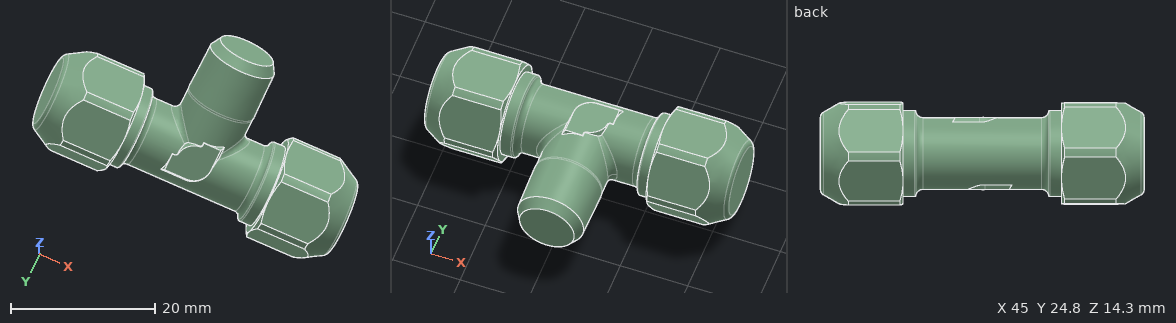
import cadquery as cq
import math

half_length = 22.5
run_radius = 5.0
collar_radius = 6.0
collar_inner_x = 9.23
collar_edge_round = 0.2
collar_fillet = 1.0

nut_inner_x = 11.0
nut_across_flats = 14.0
nut_corner_radius = 7.75
hexagon_sides = 6
nut_cone_angle = 30.0
nut_face_radius = 5.5
nut_face_fillet = 0.9
left_nut_turn = 0.9
right_nut_turn = -3.2

branch_length = 17.0
branch_radius = 4.98
branch_fillet = 1.0
thread_start = 8.3
thread_lead_in = 0.3
thread_radius = 5.04
thread_end_radius = 4.9
tip_chamfer_length = 1.5
tip_radius = 4.05

pad_height = 5.03
pad_center = (0.4, -0.45)
pad_radius = 2.93
pad_corner_reach = 3.7
pad_step_reach = 3.0
pad_step_offset = 0.4
pad_slope_height = 0.65
pad_slope_angle = 30.0


def revolve_about_x(profile):
    """Revolve a closed profile of (x, radius) points around the X axis."""
    return profile.close().revolve(360, (0, 0, 0), (1, 0, 0))


def make_run():
    """Plain bar with a round-edged, filleted collar behind each nut, along X."""
    fillet_start_x = collar_inner_x - collar_fillet
    edge_radius = collar_radius - collar_edge_round
    edge_x = fillet_start_x + math.sqrt(collar_fillet**2 - collar_edge_round**2)
    edge_start_x = edge_x + collar_edge_round
    profile = (
        cq.Workplane("XY")
        .moveTo(0, 0)
        .lineTo(0, run_radius)
        .lineTo(fillet_start_x, run_radius)
        .radiusArc((edge_x, edge_radius), -collar_fillet)
        .radiusArc((edge_start_x, collar_radius), collar_edge_round)
        .lineTo(nut_inner_x, collar_radius)
        .lineTo(nut_inner_x, 0)
    )
    half_run = revolve_about_x(profile)
    return half_run.union(half_run.mirror("YZ")).clean()


def make_branch():
    """Plain cylinder for the branch, from the run axis to the thread."""
    return cq.Workplane("XZ").circle(branch_radius).extrude(thread_start)


def make_thread():
    """Slightly tapered thread envelope with a chamfered tip."""
    profile = (
        cq.Workplane("XY")
        .moveTo(0, -thread_start)
        .lineTo(branch_radius, -thread_start)
        .lineTo(thread_radius, -thread_start - thread_lead_in)
        .lineTo(thread_end_radius, -branch_length + tip_chamfer_length)
        .lineTo(tip_radius, -branch_length)
        .lineTo(0, -branch_length)
        .close()
    )
    return profile.revolve(360, (0, 0, 0), (0, 1, 0))


def make_nut(turn):
    """Closed hexagonal nut on the +X end, turned about its axis."""
    slope = math.tan(math.radians(nut_cone_angle))
    cone_length = (nut_corner_radius - nut_face_radius) / slope
    flat_radius = nut_across_flats / 2
    chamfer_length = (nut_corner_radius - flat_radius) * slope
    envelope = revolve_about_x(
        cq.Workplane("XY")
        .moveTo(nut_inner_x, 0)
        .lineTo(nut_inner_x, flat_radius)
        .lineTo(nut_inner_x + chamfer_length, nut_corner_radius)
        .lineTo(half_length - cone_length, nut_corner_radius)
        .lineTo(half_length, nut_face_radius)
        .lineTo(half_length, 0)
    )
    envelope = envelope.faces(">X").edges().fillet(nut_face_fillet)
    across_corners = nut_across_flats / math.cos(math.pi / hexagon_sides)
    hexagon = (
        cq.Workplane("YZ", origin=(nut_inner_x, 0, 0))
        .polygon(hexagon_sides, across_corners)
        .extrude(half_length - nut_inner_x)
    )
    return hexagon.intersect(envelope).rotate((0, 0, 0), (1, 0, 0), turn)


def make_pad():
    """Leaf-shaped pad with sloping sides, one of its round corners stepped in."""
    arc_middle = pad_radius * math.sqrt(0.5)
    step_middle = pad_step_reach * math.sqrt(0.5)
    step_end = math.sqrt(pad_step_reach**2 - pad_step_offset**2)
    outline = (
        cq.Workplane("XY", origin=(*pad_center, 0))
        .moveTo(0, pad_radius)
        .lineTo(pad_corner_reach, pad_radius)
        .lineTo(pad_corner_reach, -pad_step_offset)
        .lineTo(step_end, -pad_step_offset)
        .threePointArc((step_middle, -step_middle), (pad_step_offset, -step_end))
        .lineTo(pad_step_offset, -pad_corner_reach)
        .lineTo(-pad_radius, -pad_corner_reach)
        .lineTo(-pad_radius, 0)
        .threePointArc((-arc_middle, arc_middle), (0, pad_radius))
        .close()
    )
    base = outline.extrude(pad_height - pad_slope_height)
    sloped_top = base.faces(">Z").wires().toPending().extrude(
        pad_slope_height, combine=False, taper=pad_slope_angle
    )
    return base.union(sloped_top)


def make_tee():
    """Run and branch joined, with the saddle-shaped crease between them filleted."""
    return make_run().union(make_branch()).edges("%BSPLINE").fillet(branch_fillet)


tee = make_tee()
left_nut = make_nut(left_nut_turn).mirror("YZ")
right_nut = make_nut(right_nut_turn)
top_pad = make_pad()
bottom_pad = top_pad.rotate((0, 0, 0), (0, 1, 0), 180)

result = tee.union(make_thread())
for piece in (left_nut, right_nut, top_pad, bottom_pad):
    result = result.union(piece)